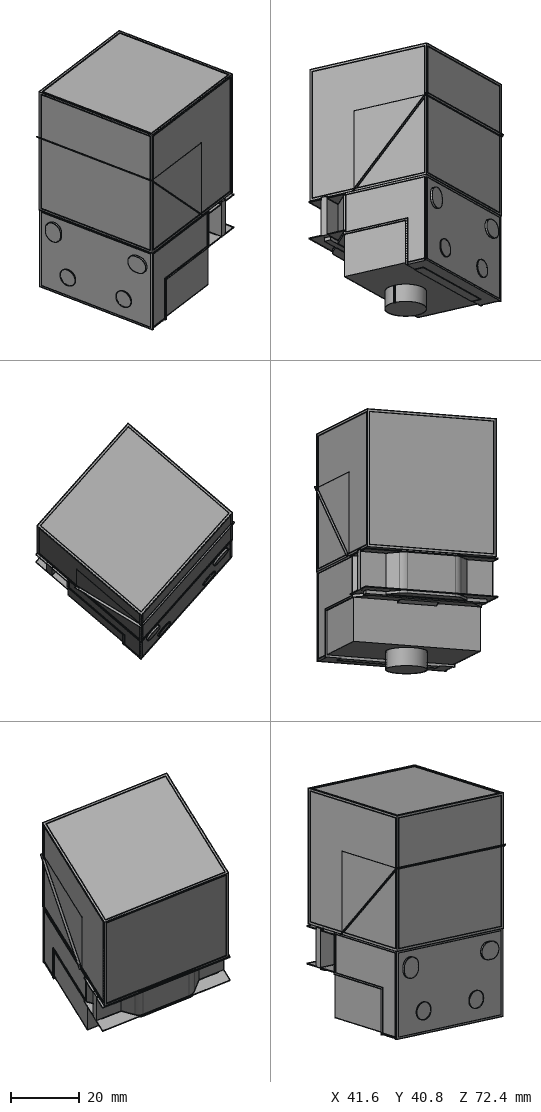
import cadquery as cq
import math


HEAD_WIDTH = 40.5
HALF_WIDTH = HEAD_WIDTH / 2
HEAD_HEIGHT = 41.05
RECESS = 0.25
HEAD_BORDER = 0.75

BLOCK_BACK = 5.05
BLOCK_TOP = 25.1
RIB_THICKNESS = 0.1
RIB_HALF_WIDTH = 20.8
FRONT_LIMIT = -20.59

BASE_FRONT = -20.05
BASE_BORDER = 0.6
FRONT_RECESS = 0.1
BASE_BACK = 8.5
UPPER_BOTTOM = -12.85
LEG_BACK = -13.0
LEG_BOTTOM = -26.65
LEG_CHAMFER = 0.45
LIP_HALF_WIDTH = 15.5
LIP_DEPTH = 3.1
LIP_HEIGHT = 0.2
CONNECTOR_BLOCK_HALF_WIDTH = 19.9
CONNECTOR_BLOCK_BOTTOM = -26.0

CONNECTOR_RADIUS = 6.1
CONNECTOR_BOTTOM = -31.4
KEYWAY_WIDTH = 0.5
KEYWAY_DEPTH = 0.3

SCREW_DIAMETER = 5.4
SLOT_LENGTH = 6.4
SLOT_X = 15.0
SLOT_Z = -5.7
SLOT_FACE = FRONT_LIMIT
SCREW_X = 10.0
SCREW_Z = -19.7
SCREW_FACE = -20.3

BAY_BACK = 20.0
SHEET = 0.25
SHEET_HALF_WIDTH = RIB_HALF_WIDTH
SHEET_BACK = 20.2
SHEET_FRONT = BASE_BACK - BASE_BORDER
UPPER_SHEET_TOP = -0.45
LOWER_SHEET_BOTTOM = -12.05
WEB_FILLET = 3.0
POST_HALF_WIDTH = RIB_HALF_WIDTH
POST_FRONT = 13.95
POST_BACK = 16.05
FOOT_HALF_WIDTH = 19.0
FOOT_DROP = 0.25
GUSSET_LENGTH = 1.9
GUSSET_HEIGHT = 0.7
GUSSET_HALF_WIDTH = CONNECTOR_RADIUS


def box(x_range, y_range, z_range):
    """Axis-aligned box between the given limits."""
    sizes = [high - low for low, high in (x_range, y_range, z_range)]
    corner = (x_range[0], y_range[0], z_range[0])
    return cq.Workplane("XY").box(*sizes, centered=False).translate(corner)


def across(half_width):
    """Symmetric X limits."""
    return (-half_width, half_width)


def side_prism(points, half_width):
    """Prism across X from an outline of (Y, Z) points."""
    return cq.Workplane("YZ").polyline(points).close().extrude(half_width, both=True)


def recess_head_sides(solid):
    side_y = across(HALF_WIDTH - HEAD_BORDER)
    side_z = (HEAD_BORDER, HEAD_HEIGHT - HEAD_BORDER)
    for side in (-1, 1):
        outer = side * HALF_WIDTH
        depth = sorted((outer, outer - side * RECESS))
        solid = solid.cut(box(depth, side_y, side_z)).cut(box(side_y, depth, side_z))
    return solid


def make_head_envelope():
    block = box(across(HALF_WIDTH), across(HALF_WIDTH), (0, HEAD_HEIGHT))
    inner = across(HALF_WIDTH - HEAD_BORDER)
    top_recess = box(inner, inner, (HEAD_HEIGHT - RECESS, HEAD_HEIGHT))
    return recess_head_sides(block).cut(top_recess)


def make_diagonal_rib():
    """Thin rib along the block diagonal, proud of both sides and of the front."""
    slope = BLOCK_TOP / (BLOCK_BACK + HALF_WIDTH)
    half_rise = RIB_THICKNESS / 2 * math.hypot(1, slope)
    tip_z = BLOCK_TOP + slope * (-HALF_WIDTH - FRONT_LIMIT)
    outline = [
        (BLOCK_BACK - half_rise / slope, 0),
        (BLOCK_BACK + half_rise / slope, 0),
        (FRONT_LIMIT, tip_z + half_rise),
        (FRONT_LIMIT, tip_z - half_rise),
    ]
    return side_prism(outline, RIB_HALF_WIDTH)


def make_corner_block(envelope):
    region = box(across(HALF_WIDTH), (-HALF_WIDTH, BLOCK_BACK), (0, BLOCK_TOP))
    return envelope.intersect(region).union(make_diagonal_rib())


def base_outline(inset):
    """(Y, Z) points of the inverted L, moved inward by the inset."""
    return [
        (BASE_FRONT + inset, -inset),
        (BASE_BACK - inset, -inset),
        (BASE_BACK - inset, UPPER_BOTTOM + inset),
        (LEG_BACK - inset, UPPER_BOTTOM + inset),
        (LEG_BACK - inset, LEG_BOTTOM + inset),
        (BASE_FRONT + inset, LEG_BOTTOM + inset),
    ]


def make_base_shell():
    """Inverted L of the base with recessed sides and front, and a lip below the leg."""
    shell = side_prism(base_outline(0), HALF_WIDTH)
    side_recess = side_prism(base_outline(BASE_BORDER), HALF_WIDTH)
    side_recess = side_recess.cut(side_prism(base_outline(BASE_BORDER), HALF_WIDTH - RECESS))
    front_recess = box(
        across(HALF_WIDTH - HEAD_BORDER),
        (BASE_FRONT, BASE_FRONT + FRONT_RECESS),
        (LEG_BOTTOM + BASE_BORDER, -BASE_BORDER),
    )
    shell = shell.cut(side_recess).cut(front_recess)
    lip = box(
        across(LIP_HALF_WIDTH), (LEG_BACK - LIP_DEPTH, LEG_BACK), (LEG_BOTTOM - LIP_HEIGHT, LEG_BOTTOM)
    )
    return cut_leg_chamfers(shell).union(lip)


def cut_leg_chamfers(shell):
    """Bevel the lower side edges of the leg between its front and back borders."""
    start = BASE_FRONT + BASE_BORDER
    length = LEG_BACK - BASE_BORDER - start
    for side in (-1, 1):
        edge = side * HALF_WIDTH
        bevel = (
            cq.Workplane("XZ", origin=(0, start, 0))
            .polyline(
                [
                    (edge, LEG_BOTTOM),
                    (edge, LEG_BOTTOM + LEG_CHAMFER),
                    (edge - side * LEG_CHAMFER, LEG_BOTTOM),
                ]
            )
            .close()
            .extrude(-length)
        )
        shell = shell.cut(bevel)
    return shell


def make_connector():
    """Connector block with its round socket, keyed on the -X side."""
    block = box(
        across(CONNECTOR_BLOCK_HALF_WIDTH), (LEG_BACK, BASE_BACK), (CONNECTOR_BLOCK_BOTTOM, UPPER_BOTTOM)
    )
    socket = (
        cq.Workplane("XY", origin=(0, 0, CONNECTOR_BOTTOM))
        .circle(CONNECTOR_RADIUS)
        .extrude(CONNECTOR_BLOCK_BOTTOM - CONNECTOR_BOTTOM)
    )
    keyway = box(
        (-CONNECTOR_RADIUS - KEYWAY_DEPTH, -CONNECTOR_RADIUS + KEYWAY_DEPTH),
        across(KEYWAY_WIDTH / 2),
        (CONNECTOR_BOTTOM, CONNECTOR_BLOCK_BOTTOM),
    )
    return block.union(socket.cut(keyway))


def make_rear_bay():
    sheet_y = (SHEET_FRONT, SHEET_BACK)
    sheet_x = across(SHEET_HALF_WIDTH)
    upper_sheet = box(sheet_x, sheet_y, (UPPER_SHEET_TOP - SHEET, UPPER_SHEET_TOP))
    lower_sheet = box(sheet_x, sheet_y, (LOWER_SHEET_BOTTOM, LOWER_SHEET_BOTTOM + SHEET))

    back_half_width = HALF_WIDTH - (BAY_BACK - BASE_BACK)
    web = (
        cq.Workplane("XY", origin=(0, 0, UPPER_BOTTOM))
        .polyline(
            [
                (-HALF_WIDTH, BASE_BACK),
                (HALF_WIDTH, BASE_BACK),
                (back_half_width, BAY_BACK),
                (-back_half_width, BAY_BACK),
            ]
        )
        .close()
        .extrude(-UPPER_BOTTOM)
        .edges("|Z and >Y")
        .fillet(WEB_FILLET)
    )

    post_y = (POST_FRONT, POST_BACK)
    post_bar = box(across(POST_HALF_WIDTH), post_y, (LOWER_SHEET_BOTTOM, 0))
    foot = box(across(FOOT_HALF_WIDTH), post_y, (UPPER_BOTTOM - FOOT_DROP, LOWER_SHEET_BOTTOM))
    gusset = side_prism(
        [
            (BASE_BACK, UPPER_BOTTOM),
            (BASE_BACK + GUSSET_LENGTH, UPPER_BOTTOM),
            (BASE_BACK, UPPER_BOTTOM - GUSSET_HEIGHT),
        ],
        GUSSET_HALF_WIDTH,
    )
    bay = web.union(upper_sheet).union(lower_sheet)
    return bay.union(post_bar).union(foot).union(gusset)


def front_plane(x, z):
    """Plane on the recessed front of the base, facing -Y."""
    return cq.Workplane("XZ", origin=(x, BASE_FRONT + FRONT_RECESS, z))


def make_screw_heads():
    recess_floor = BASE_FRONT + FRONT_RECESS
    slot_height = recess_floor - SLOT_FACE
    heads = front_plane(-SLOT_X, SLOT_Z).slot2D(SLOT_LENGTH, SCREW_DIAMETER, 90).extrude(slot_height)
    heads = heads.union(
        front_plane(SLOT_X, SLOT_Z).slot2D(SLOT_LENGTH, SCREW_DIAMETER, 0).extrude(slot_height)
    )
    for x in (-SCREW_X, SCREW_X):
        screw = front_plane(x, SCREW_Z).circle(SCREW_DIAMETER / 2).extrude(recess_floor - SCREW_FACE)
        heads = heads.union(screw)
    return heads


head_envelope = make_head_envelope()
corner_block = make_corner_block(head_envelope)
head = head_envelope.cut(corner_block)
base = make_base_shell().union(make_connector()).union(make_rear_bay()).union(make_screw_heads())

result = cq.Compound.makeCompound([head.val(), corner_block.val(), base.val()])